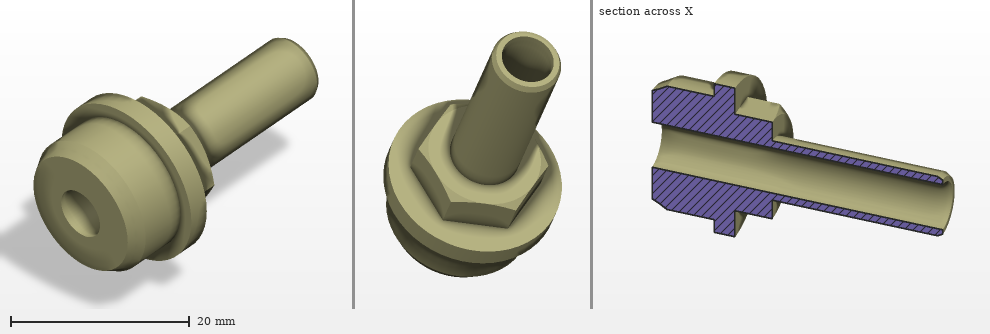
import cadquery as cq
import math

plug_end = 7.5
flange_end = 10.0
hex_end = 14.5
total_length = 35.0

flange_diameter = 20.0
plug_diameter = 16.6
plug_tip_diameter = 14.52
stem_diameter = 8.0
bore_diameter = 6.0
hex_across_flats = 13.0

plug_chamfer_length = 1.82
stem_chamfer_length = 0.63
stem_chamfer_angle = math.radians(30)
hex_chamfer_angle = math.radians(30)

hex_across_corners = hex_across_flats / math.cos(math.pi / 6)
hex_chamfer_drop = (hex_across_corners - hex_across_flats) / 2 * math.tan(hex_chamfer_angle)


def revolve_about_y(profile):
    """Revolve a closed (radius, y) profile about the Y axis."""
    return cq.Workplane("XY").polyline(profile).close().revolve(360, (0, 0, 0), (0, 1, 0))


def make_turned_body():
    """Chamfered plug, flange and stem as one solid of revolution."""
    stem_radius = stem_diameter / 2
    stem_tip_radius = stem_radius - stem_chamfer_length * math.tan(stem_chamfer_angle)
    return revolve_about_y([
        (0, 0),
        (plug_tip_diameter / 2, 0),
        (plug_diameter / 2, plug_chamfer_length),
        (plug_diameter / 2, plug_end),
        (flange_diameter / 2, plug_end),
        (flange_diameter / 2, flange_end),
        (stem_radius, flange_end),
        (stem_radius, total_length - stem_chamfer_length),
        (stem_tip_radius, total_length),
        (0, total_length),
    ])


def make_hexagon():
    """Wrench hexagon with corners on X and a conical chamfer on its stem side."""
    prism = (
        cq.Workplane("XZ", origin=(0, flange_end, 0))
        .polygon(6, hex_across_corners)
        .extrude(flange_end - hex_end)
    )
    chamfer_envelope = revolve_about_y([
        (0, flange_end),
        (hex_across_corners / 2, flange_end),
        (hex_across_corners / 2, hex_end - hex_chamfer_drop),
        (hex_across_flats / 2, hex_end),
        (0, hex_end),
    ])
    return prism.intersect(chamfer_envelope)


def make_bore():
    """Axial hole through the whole length."""
    return cq.Workplane("XZ").circle(bore_diameter / 2).extrude(-total_length)


result = make_turned_body().union(make_hexagon()).cut(make_bore())